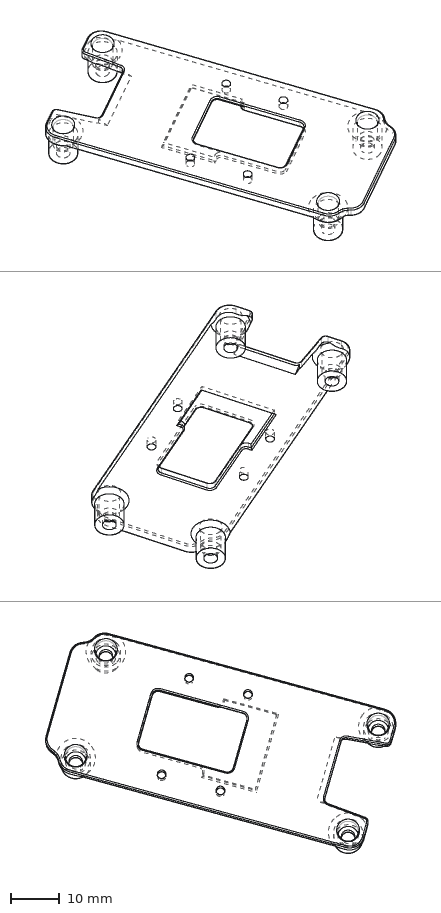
import cadquery as cq
import math

LENGTH = 68.5
WIDTH = 30.0
HEIGHT = 9.0
PLATE_THICKNESS = 2.0
EDGE_CHAMFER = 0.3
HALF_WIDTH = WIDTH / 2

CORNER_RADIUS = 3.0
SMALL_RADIUS = 1.0
SHOULDER_START = 61.9
SHOULDER_STEEP = math.radians(62.5)
SHOULDER_SHALLOW = math.radians(22.5)

NOTCH_DEPTH = 9.9
NOTCH_MOUTH_HALF = 7.95
NOTCH_TAPER = math.radians(5)
NOTCH_FLOOR_HALF = NOTCH_MOUTH_HALF - NOTCH_DEPTH * math.tan(NOTCH_TAPER)

RAMP_LIP = 1.1
RAMP_ANGLE = math.radians(30)
RAMP_HALF_WIDTH = 7.0

WINDOW_START = 29.7
WINDOW_END = 49.9
WINDOW_WIDTH = 12.8
WINDOW_RADIUS = 1.2
WINDOW_LENGTH = WINDOW_END - WINDOW_START
WINDOW_CENTER = (WINDOW_START + WINDOW_END) / 2

POCKET_END = 35.3
POCKET_WIDTH = 16.45
POCKET_ROOF = 0.6
POCKET_START = 2 * WINDOW_START - POCKET_END
POCKET_LENGTH = POCKET_END - POCKET_START

SMALL_HOLE_DIAMETER = 1.8
SMALL_HOLE_XS = (30.95, 43.5)
SMALL_HOLE_Y = 10.5

POST_DIAMETER = 6.0
POST_INSET = 3.5
POST_SPACING = 58.0
POST_FLARE = 1.0
POST_Y = HALF_WIDTH - POST_INSET
BORE_DIAMETER = 4.2
BORE_DEPTH = 6.15
BORE_LEAD_IN = 0.3
BORE_LEAD_IN_DEPTH = 0.8
SCREW_HOLE_DIAMETER = 2.8
SEAT_ANGLE = math.radians(35)


def arc(path, center, radius, start, end):
    """Extend a path by an arc about center, between two angles."""

    def on_circle(angle):
        return (center[0] + radius * math.cos(angle), center[1] + radius * math.sin(angle))

    return path.threePointArc(on_circle((start + end) / 2), on_circle(end))


def half_outline():
    """Half of the plate on the +Y side, notch left out."""
    r = CORNER_RADIUS
    quarter = math.pi / 2
    steep = quarter - SHOULDER_STEEP
    shallow = quarter - SHOULDER_SHALLOW

    crest = (SHOULDER_START, HALF_WIDTH - r)
    hollow = (crest[0] + 2 * r * math.cos(steep), crest[1] + 2 * r * math.sin(steep))
    hollow_end_x = hollow[0] - r * math.cos(shallow)
    hollow_end_y = hollow[1] - r * math.sin(shallow)
    flank_end_x = LENGTH - r + r * math.cos(shallow)
    flank_end_y = hollow_end_y - (flank_end_x - hollow_end_x) * math.tan(SHOULDER_SHALLOW)
    end_corner = (LENGTH - r, flank_end_y - r * math.sin(shallow))

    path = cq.Workplane("XY").moveTo(0, 0).lineTo(0, HALF_WIDTH - r)
    path = arc(path, (r, HALF_WIDTH - r), r, math.pi, quarter)
    path = path.lineTo(SHOULDER_START, HALF_WIDTH)
    path = arc(path, crest, r, quarter, steep)
    path = arc(path, hollow, r, math.pi + steep, math.pi + shallow)
    path = path.lineTo(flank_end_x, flank_end_y)
    path = arc(path, end_corner, r, shallow, 0)
    return path.lineTo(LENGTH, 0).close()


def notched_block(depth):
    """Plate outline with its notch, extruded downwards from the top face."""
    half = half_outline().extrude(-depth)
    block = half.union(half.mirror("XZ")).clean()
    notch = (
        cq.Workplane("XY")
        .polyline([
            (0, -NOTCH_MOUTH_HALF),
            (NOTCH_DEPTH, -NOTCH_FLOOR_HALF),
            (NOTCH_DEPTH, NOTCH_FLOOR_HALF),
            (0, NOTCH_MOUTH_HALF),
        ])
        .close()
        .extrude(-depth)
    )
    corners = cq.selectors.BoxSelector(
        (-0.7, -NOTCH_MOUTH_HALF - 0.7, -depth - 0.7), (NOTCH_DEPTH + 0.7, NOTCH_MOUTH_HALF + 0.7, 0.7)
    )
    return block.cut(notch).edges("|Z").edges(corners).fillet(SMALL_RADIUS)


def make_plate():
    window = (
        cq.Workplane("XY")
        .center(WINDOW_CENTER, 0)
        .rect(WINDOW_LENGTH, WINDOW_WIDTH)
        .extrude(-PLATE_THICKNESS)
        .edges("|Z")
        .fillet(WINDOW_RADIUS)
    )
    plate = notched_block(PLATE_THICKNESS).cut(window)
    plate = plate.faces(">Z").edges().chamfer(EDGE_CHAMFER)
    small_holes = (
        cq.Workplane("XY")
        .pushPoints([(x, side * SMALL_HOLE_Y) for x in SMALL_HOLE_XS for side in (-1, 1)])
        .circle(SMALL_HOLE_DIAMETER / 2)
        .extrude(-PLATE_THICKNESS)
    )
    return plate.cut(small_holes)


def make_ramp():
    """Wedge removed below the notch floor, fading out towards +X."""
    slope = math.tan(RAMP_ANGLE)
    ramp_end = NOTCH_DEPTH + (PLATE_THICKNESS - RAMP_LIP) / slope
    ramp_start = NOTCH_DEPTH - SMALL_RADIUS
    start_z = -RAMP_LIP + SMALL_RADIUS * slope
    return (
        cq.Workplane("XZ")
        .polyline([
            (ramp_start, start_z),
            (ramp_end, -PLATE_THICKNESS),
            (ramp_start, -PLATE_THICKNESS),
        ])
        .close()
        .extrude(RAMP_HALF_WIDTH, both=True)
    )


def make_pocket():
    """Underside recess; the window walls round off into its end wall."""
    return (
        cq.Workplane("XY")
        .workplane(offset=-PLATE_THICKNESS)
        .center((POCKET_START + POCKET_END) / 2, 0)
        .rect(POCKET_LENGTH, POCKET_WIDTH)
        .extrude(PLATE_THICKNESS - POCKET_ROOF)
    )


def round_pocket_mouth(body):
    """Round the upright edges where the window meets the pocket end wall."""
    reach = 0.1
    half = WINDOW_WIDTH / 2 + reach
    mouth = cq.selectors.BoxSelector(
        (POCKET_END - reach, -half, -PLATE_THICKNESS), (POCKET_END + reach, half, 0)
    )
    return body.edges("|Z").edges(mouth).fillet(WINDOW_RADIUS)


def chamfer_lower_opening(body):
    """Chamfer the lower rim of the joined window and pocket."""
    margin = 0.35
    half = POCKET_WIDTH / 2 + margin
    rim = cq.selectors.BoxSelector(
        (POCKET_START - margin, -half, -PLATE_THICKNESS - margin),
        (WINDOW_END + margin, half, margin),
    )
    return body.faces("<Z").edges(rim).chamfer(EDGE_CHAMFER)


def make_post():
    """Post with a 45 degree flare that meets the underside of the plate."""
    radius = POST_DIAMETER / 2
    flare_radius = radius + POST_FLARE
    return (
        cq.Workplane("XZ")
        .polyline([
            (0, -HEIGHT),
            (radius, -HEIGHT),
            (radius, -PLATE_THICKNESS - POST_FLARE),
            (flare_radius, -PLATE_THICKNESS),
            (0, -PLATE_THICKNESS),
        ])
        .close()
        .revolve(360, (0, 0, 0), (0, 1, 0))
    )


def make_bore():
    """Screw bore: tapered lead-in, straight bore, conical seat, through hole."""
    radius = BORE_DIAMETER / 2
    screw_radius = SCREW_HOLE_DIAMETER / 2
    seat_depth = (radius - screw_radius) * math.tan(SEAT_ANGLE)
    return (
        cq.Workplane("XZ")
        .polyline([
            (0, 0),
            (radius + BORE_LEAD_IN, 0),
            (radius, -BORE_LEAD_IN_DEPTH),
            (radius, -BORE_DEPTH),
            (screw_radius, -BORE_DEPTH - seat_depth),
            (screw_radius, -HEIGHT),
            (0, -HEIGHT),
        ])
        .close()
        .revolve(360, (0, 0, 0), (0, 1, 0))
    )


body = round_pocket_mouth(make_plate().cut(make_pocket()))
body = chamfer_lower_opening(body).cut(make_ramp())

envelope = notched_block(HEIGHT)
post_places = [
    (x, side * POST_Y, 0) for x in (POST_INSET, POST_INSET + POST_SPACING) for side in (-1, 1)
]
for place in post_places:
    body = body.union(make_post().translate(place).intersect(envelope))
for place in post_places:
    body = body.cut(make_bore().translate(place))

result = body